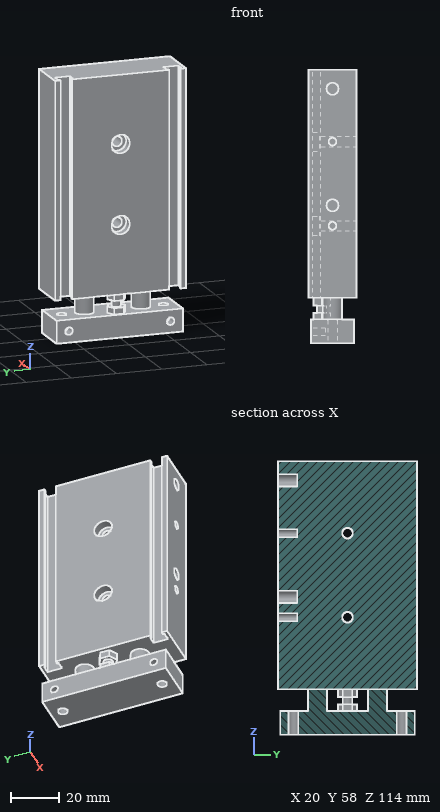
import cadquery as cq
import math

HOUSING_X = 20.0
HOUSING_Y = 58.0
HOUSING_Z = 95.0
STROKE_GAP = 9.0
MID_X = HOUSING_X / 2

PLATE_X = 18.0
PLATE_Y = 56.0
PLATE_Z = 10.0

HOUSING_BOTTOM = PLATE_Z + STROKE_GAP
HOUSING_TOP = HOUSING_BOTTOM + HOUSING_Z

RAIL_OFFSET_Y = 24.0
RAIL_MOUTH_WIDTH = 5.2
RAIL_LIP_DEPTH = 1.5
RAIL_POCKET_WIDTH = 6.5
RAIL_DEPTH = 5.0

MOUNT_HEIGHTS = [HOUSING_TOP - 30.0, HOUSING_TOP - 65.0]
MOUNT_HOLE_DIA = 4.3
MOUNT_BORE_DIA = 8.0
MOUNT_BORE_DEPTH = 4.4
TAP_DIA = 3.24
SIDE_TAP_DEPTH = 8.0

PORT_HEIGHTS = [HOUSING_TOP - 8.0, HOUSING_TOP - 56.5]
PORT_DIA = 5.0
PORT_DEPTH = 8.0

ROD_DIA = 8.0
ROD_OFFSET_Y = 12.5

PLATE_HOLE_OFFSET_Y = 22.5
PLATE_TAP_DEPTH = 6.0
PLATE_THROUGH_HOLE_DIA = 4.0

BOLT_X = 5.5
BOLT_SHANK_DIA = 4.0
HEX_ACROSS_FLATS = 7.0
BOLT_HEAD_HEIGHT = 3.2
LOCK_NUT_HEIGHT = 2.7


def block(x_min, x_size, y_mid, y_size, z_min, z_size):
    """Box that starts at x_min and z_min and is centred on y_mid."""
    corner = (x_min, y_mid - y_size / 2, z_min)
    return cq.Workplane("XY").box(x_size, y_size, z_size, centered=False).translate(corner)


def cylinder(start, direction, diameter, length):
    """Cylinder that grows from the centre of its start face along the given direction."""
    solid = cq.Solid.makeCylinder(diameter / 2, length, cq.Vector(*start), cq.Vector(*direction))
    return cq.Workplane(solid)


def sensor_rail(y_mid):
    mouth = block(0, RAIL_DEPTH, y_mid, RAIL_MOUTH_WIDTH, HOUSING_BOTTOM, HOUSING_Z)
    pocket_depth = RAIL_DEPTH - RAIL_LIP_DEPTH
    pocket = block(RAIL_LIP_DEPTH, pocket_depth, y_mid, RAIL_POCKET_WIDTH, HOUSING_BOTTOM, HOUSING_Z)
    return mouth.union(pocket)


def make_housing():
    body = block(0, HOUSING_X, 0, HOUSING_Y, HOUSING_BOTTOM, HOUSING_Z)
    for side in (-1, 1):
        body = body.cut(sensor_rail(side * RAIL_OFFSET_Y))
    for z in MOUNT_HEIGHTS:
        body = body.cut(cylinder((0, 0, z), (1, 0, 0), MOUNT_HOLE_DIA, HOUSING_X))
        body = body.cut(cylinder((0, 0, z), (1, 0, 0), MOUNT_BORE_DIA, MOUNT_BORE_DEPTH))
        body = body.cut(cylinder((MID_X, -HOUSING_Y / 2, z), (0, 1, 0), TAP_DIA, SIDE_TAP_DEPTH))
    for z in PORT_HEIGHTS:
        body = body.cut(cylinder((MID_X, -HOUSING_Y / 2, z), (0, 1, 0), PORT_DIA, PORT_DEPTH))
    return body


def make_plate_with_rods():
    plate_x_min = MID_X - PLATE_X / 2
    body = block(plate_x_min, PLATE_X, 0, PLATE_Y, 0, PLATE_Z)
    for side in (-1, 1):
        front_start = (plate_x_min, side * PLATE_HOLE_OFFSET_Y, PLATE_Z / 2)
        body = body.cut(cylinder(front_start, (1, 0, 0), TAP_DIA, PLATE_TAP_DEPTH))
        top_start = (MID_X, side * PLATE_HOLE_OFFSET_Y, 0)
        body = body.cut(cylinder(top_start, (0, 0, 1), PLATE_THROUGH_HOLE_DIA, PLATE_Z))
        rod_start = (MID_X, side * ROD_OFFSET_Y, PLATE_Z)
        body = body.union(cylinder(rod_start, (0, 0, 1), ROD_DIA, STROKE_GAP))
    return body


def hexagon(z_min, height):
    """Hexagonal prism around the bolt axis with flats facing -X and +X."""
    across_corners = HEX_ACROSS_FLATS / math.cos(math.pi / 6)
    prism = cq.Workplane("XY").polygon(6, across_corners).extrude(height)
    return prism.rotate((0, 0, 0), (0, 0, 1), 90).translate((BOLT_X, 0, z_min))


def make_stop_bolt():
    shank = cylinder((BOLT_X, 0, PLATE_Z), (0, 0, 1), BOLT_SHANK_DIA, STROKE_GAP)
    lock_nut = hexagon(PLATE_Z, LOCK_NUT_HEIGHT)
    head = hexagon(HOUSING_BOTTOM - BOLT_HEAD_HEIGHT, BOLT_HEAD_HEIGHT)
    return shank.union(lock_nut).union(head)


housing = make_housing()
plate_with_rods = make_plate_with_rods()
stop_bolt = make_stop_bolt()

result = cq.Compound.makeCompound([housing.val(), plate_with_rods.val(), stop_bolt.val()])